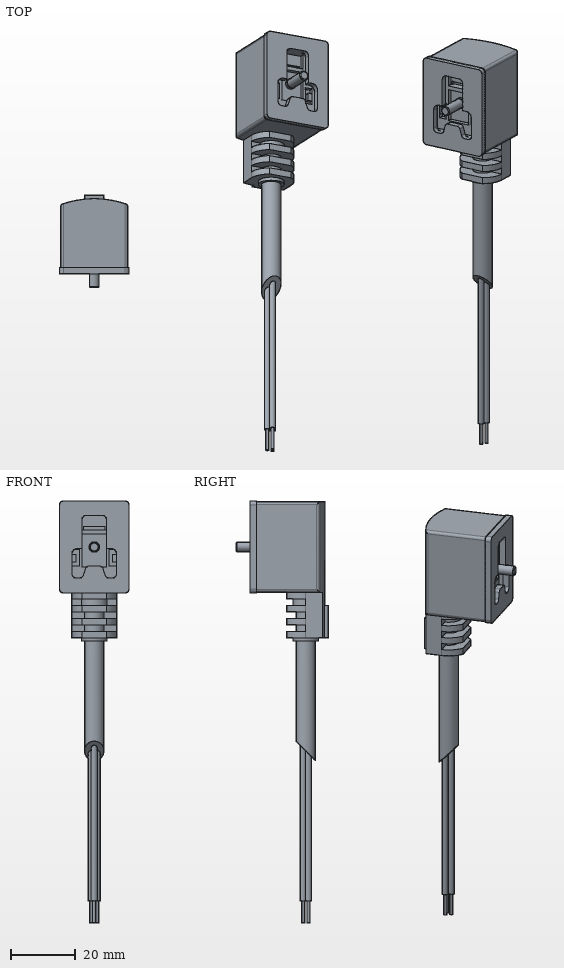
import cadquery as cq
import math


OVERALL_HEIGHT = 130.25
OVERALL_DEPTH = 28.5
OVERLAP = 0.5

FLANGE_WIDTH = 21.5
FLANGE_HEIGHT = 28.5
FLANGE_THICKNESS = 2.0
FLANGE_CORNER_RADIUS = 1.25
FLANGE_TOP_Z = FLANGE_HEIGHT / 2

HOUSING_INSET = 0.35
HOUSING_WIDTH = FLANGE_WIDTH - 2 * HOUSING_INSET
HOUSING_HEIGHT = 28.0
HOUSING_BOTTOM_Z = -HOUSING_HEIGHT / 2
HOUSING_CORNER_RADIUS = FLANGE_CORNER_RADIUS - HOUSING_INSET
BACK_CORNER_RADIUS = 1.0
DOME_Y = 23.2
DOME_RADIUS = 30.0

PIN_DIAMETER = 3.0
PIN_BASE_DIAMETER = 3.2
PIN_BASE_HEIGHT = 1.0
PIN_PROJECTION = 4.25
PIN_CHAMFER = 0.3

SLOT_WIDTH = 7.5
SLOT_TOP_Z = 9.8
SLOT_CORNER_RADIUS = 1.4
WING_WIDTH = 13.8
WING_TOP_Z = -0.4
WING_BOTTOM_Z = -9.5
WING_TOP_RADIUS = 1.9
WING_BOTTOM_RADIUS = 1.25
TAB_TOP_Z = -5.9
TAB_TOP_WIDTH = 4.9
TAB_BOTTOM_WIDTH = 7.2
TAB_CORNER_RADIUS = 1.0

CHAMBER_WIDTH = 15.4
CHAMBER_DEPTH = 3.45
WINDOW_DEPTH = 4.95
CENTRE_WINDOW_TOP_Z = 4.0
CENTRE_WINDOW_BOTTOM_Z = -6.2
UPPER_WINDOW_BOTTOM_Z = 5.2
RECESS_WIDTH = 6.6
RECESS_TOP_Z = 6.3
RECESS_DEPTH = 5.95
SIDE_WINDOW_INNER_X = 4.5
SIDE_WINDOW_TOP_Z = -0.8
SIDE_WINDOW_BOTTOM_Z = -5.9
CONTACT_INNER_X = 5.6
CONTACT_TOP_Z = -2.3
CONTACT_BOTTOM_Z = -4.7
CONTACT_FACE_DEPTH = 3.7

CABLE_AXIS_Y = 17.25
NECK_RADIUS = 7.0
NECK_FLAT_OFFSET = 5.9
RING_PITCH = 2.0
RING_COUNT = 7
NECK_BOTTOM_Z = HOUSING_BOTTOM_Z - RING_COUNT * RING_PITCH
BACK_RIB_WIDTH = 6.0
BACK_RIB_HEIGHT = 10.0
BACK_RIB_Y = OVERALL_DEPTH - PIN_PROJECTION

COLLAR_DIAMETER = 8.0
COLLAR_HEIGHT = 1.0
CABLE_DIAMETER = 6.0
CABLE_LONG_END_Z = -65.9
WIRE_DIAMETER = 1.9
WIRE_END_Z = -109.15
WIRE_OFFSET_X = 0.92
FRONT_WIRE_Y = CABLE_AXIS_Y - 0.8
REAR_WIRES_Y = CABLE_AXIS_Y + 0.85
CONDUCTOR_DIAMETER = 1.0
CONDUCTOR_END_Z = FLANGE_TOP_Z - OVERALL_HEIGHT


def block(x_range, y_range, z_range):
    """Axis-aligned box between the given limits."""
    size = [high - low for low, high in (x_range, y_range, z_range)]
    return cq.Workplane("XY").box(*size, centered=False).translate((x_range[0], y_range[0], z_range[0]))


def centred_block(width, y_range, z_range):
    return block((-width / 2, width / 2), y_range, z_range)


def rod(diameter, x, y, top_z, bottom_z):
    """Vertical cylinder hanging from top_z to bottom_z."""
    return cq.Workplane("XY", origin=(x, y, bottom_z)).circle(diameter / 2).extrude(top_z - bottom_z)


def rounded_plate(width, height, radius, y_range):
    plate = centred_block(width, y_range, (-height / 2, height / 2))
    return plate.edges("|Y").fillet(radius)


def dome_y(x):
    """Y of the domed back at the given X."""
    return DOME_Y - DOME_RADIUS + math.sqrt(DOME_RADIUS**2 - x**2)


def domed_profile(half_width, front_y, bottom_z):
    """Outline in plan, straight at the front and sides and domed at the back."""
    return (
        cq.Workplane("XY", origin=(0, 0, bottom_z))
        .moveTo(-half_width, front_y)
        .lineTo(half_width, front_y)
        .lineTo(half_width, dome_y(half_width))
        .threePointArc((0, DOME_Y), (-half_width, dome_y(half_width)))
        .close()
    )


def make_housing():
    housing = domed_profile(HOUSING_WIDTH / 2, 0, HOUSING_BOTTOM_Z).extrude(HOUSING_HEIGHT)
    housing = housing.edges("|Z").edges(">Y").fillet(BACK_CORNER_RADIUS)
    sides = rounded_plate(HOUSING_WIDTH, HOUSING_HEIGHT, HOUSING_CORNER_RADIUS, (0, DOME_Y + OVERLAP))
    flange = rounded_plate(FLANGE_WIDTH, FLANGE_HEIGHT, FLANGE_CORNER_RADIUS, (0, FLANGE_THICKNESS))
    return housing.intersect(sides).union(flange)


def make_opening():
    """Cutter for the opening that passes through the flange."""
    depth = (0, FLANGE_THICKNESS)
    slot = centred_block(SLOT_WIDTH, depth, (TAB_TOP_Z, SLOT_TOP_Z))
    slot = slot.edges("|Y and >Z").fillet(SLOT_CORNER_RADIUS)
    wings = centred_block(WING_WIDTH, depth, (WING_BOTTOM_Z, WING_TOP_Z))
    wings = wings.edges("|Y").edges(">Z").fillet(WING_TOP_RADIUS)
    tab = (
        cq.Workplane("XZ")
        .moveTo(-TAB_BOTTOM_WIDTH / 2, WING_BOTTOM_Z)
        .lineTo(-TAB_TOP_WIDTH / 2, TAB_TOP_Z)
        .lineTo(TAB_TOP_WIDTH / 2, TAB_TOP_Z)
        .lineTo(TAB_BOTTOM_WIDTH / 2, WING_BOTTOM_Z)
        .close()
        .extrude(-FLANGE_THICKNESS)
        .edges("|Y and >Z")
        .fillet(TAB_CORNER_RADIUS)
    )
    wings = wings.cut(tab).edges("|Y").edges("<Z").fillet(WING_BOTTOM_RADIUS)
    return slot.union(wings)


def make_chamber():
    """Cutter for the chamber behind the flange and the windows in its back wall."""
    behind_flange = (FLANGE_THICKNESS, CHAMBER_DEPTH)
    behind_wall = (CHAMBER_DEPTH, WINDOW_DEPTH)
    chamber = centred_block(CHAMBER_WIDTH, behind_flange, (WING_BOTTOM_Z, SLOT_TOP_Z))
    centre_z = (CENTRE_WINDOW_BOTTOM_Z, CENTRE_WINDOW_TOP_Z)
    upper_z = (UPPER_WINDOW_BOTTOM_Z, SLOT_TOP_Z)
    recess_z = (UPPER_WINDOW_BOTTOM_Z, RECESS_TOP_Z)
    chamber = chamber.union(centred_block(SLOT_WIDTH, behind_wall, centre_z))
    chamber = chamber.union(centred_block(SLOT_WIDTH, behind_wall, upper_z))
    chamber = chamber.union(centred_block(RECESS_WIDTH, (WINDOW_DEPTH, RECESS_DEPTH), recess_z))
    outer_x = WING_WIDTH / 2
    window = block((SIDE_WINDOW_INNER_X, outer_x), behind_wall, (SIDE_WINDOW_BOTTOM_Z, SIDE_WINDOW_TOP_Z))
    contact = block(
        (CONTACT_INNER_X, outer_x), (CONTACT_FACE_DEPTH, WINDOW_DEPTH), (CONTACT_BOTTOM_Z, CONTACT_TOP_Z)
    )
    side_window = window.cut(contact)
    return chamber.union(side_window).union(side_window.mirror("YZ"))


def make_pin():
    length = PIN_PROJECTION + WINDOW_DEPTH + OVERLAP
    pin = cq.Workplane("XZ", origin=(0, WINDOW_DEPTH + OVERLAP, 0)).circle(PIN_DIAMETER / 2).extrude(length)
    pin = pin.faces("<Y").chamfer(PIN_CHAMFER)
    base = cq.Workplane("XZ", origin=(0, WINDOW_DEPTH, 0))
    base = base.circle(PIN_BASE_DIAMETER / 2).extrude(PIN_BASE_HEIGHT)
    return pin.union(base)


def make_neck():
    top_z = HOUSING_BOTTOM_Z + OVERLAP
    height = top_z - NECK_BOTTOM_Z
    front_y = CABLE_AXIS_Y - NECK_FLAT_OFFSET
    back = domed_profile(NECK_RADIUS, CABLE_AXIS_Y, NECK_BOTTOM_Z).extrude(height)
    round_front = rod(2 * NECK_RADIUS, 0, CABLE_AXIS_Y, top_z, NECK_BOTTOM_Z)
    round_front = round_front.intersect(
        centred_block(2 * NECK_RADIUS, (front_y, CABLE_AXIS_Y), (NECK_BOTTOM_Z, top_z))
    )
    for index in range(1, RING_COUNT, 2):
        groove_top = HOUSING_BOTTOM_Z - index * RING_PITCH
        groove = centred_block(
            2 * NECK_RADIUS, (front_y, CABLE_AXIS_Y), (groove_top - RING_PITCH, groove_top)
        )
        round_front = round_front.cut(groove)
    first_core = rod(COLLAR_DIAMETER, 0, CABLE_AXIS_Y, top_z, HOUSING_BOTTOM_Z - 2 * RING_PITCH)
    collar = rod(COLLAR_DIAMETER, 0, CABLE_AXIS_Y, NECK_BOTTOM_Z + OVERLAP, NECK_BOTTOM_Z - COLLAR_HEIGHT)
    rib = centred_block(
        BACK_RIB_WIDTH, (CABLE_AXIS_Y, BACK_RIB_Y), (NECK_BOTTOM_Z, NECK_BOTTOM_Z + BACK_RIB_HEIGHT)
    )
    return back.union(round_front).union(first_core).union(collar).union(rib)


def make_cable():
    """Jacket cut off at 45 degrees, longest at the back."""
    back_y = CABLE_AXIS_Y + CABLE_DIAMETER / 2
    front_y = CABLE_AXIS_Y - CABLE_DIAMETER / 2
    short_end_z = CABLE_LONG_END_Z + CABLE_DIAMETER
    top_z = HOUSING_BOTTOM_Z
    jacket = rod(CABLE_DIAMETER, 0, CABLE_AXIS_Y, top_z, CABLE_LONG_END_Z)
    bevel = (
        cq.Workplane("YZ")
        .polyline([(front_y, short_end_z), (back_y, CABLE_LONG_END_Z), (front_y, CABLE_LONG_END_Z)])
        .close()
        .extrude(CABLE_DIAMETER, both=True)
    )
    return jacket.cut(bevel)


def make_wires():
    """Three wires in a triangle, one in front and two behind, with bare ends."""
    positions = [
        (0, FRONT_WIRE_Y),
        (-WIRE_OFFSET_X, REAR_WIRES_Y),
        (WIRE_OFFSET_X, REAR_WIRES_Y),
    ]
    top_z = CABLE_LONG_END_Z + 2 * CABLE_DIAMETER
    wires = cq.Workplane("XY")
    for x, y in positions:
        wires = wires.union(rod(WIRE_DIAMETER, x, y, top_z, WIRE_END_Z))
        wires = wires.union(rod(CONDUCTOR_DIAMETER, x, y, WIRE_END_Z + OVERLAP, CONDUCTOR_END_Z))
    return wires


result = (
    make_housing()
    .cut(make_opening())
    .cut(make_chamber())
    .union(make_pin())
    .union(make_neck())
    .union(make_cable())
    .union(make_wires())
)